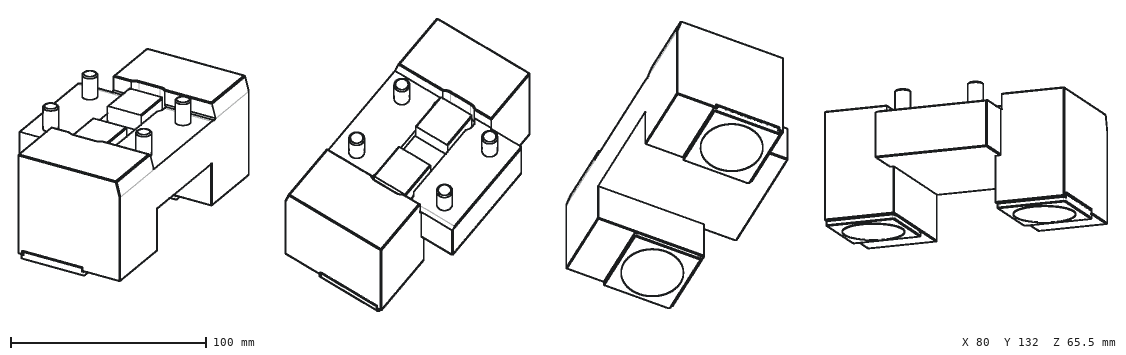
import cadquery as cq
import math

length_x = 80.0
length_y = 132.0
height = 65.5
edge_break = 0.46
centre_x = length_x / 2

base_top = 52.4
base_bottom = 27.9
base_y_min = -31.2
base_y_max = 30.5
base_chamfer = 0.5

block_x_min = 19.5
block_bottom = 3.0
block_top = 60.7
block_top_chamfer = 0.5
block_inner_y = 27.7
step_y = 31.5
slant_angle = 15.0
slant_run = (block_top - base_top) * math.tan(math.radians(slant_angle))

valley_start_y = 28.0
valley_drop = 0.7

channel_width = 20.9
channel_floor = 47.9
pocket_width = 24.0
pocket_end_y = 32.9
pocket_radius = 5.8

slider_width = 20.0
slider_inner_y = 7.5
slider_outer_y = 29.6
slider_top = 57.3

pin_diameter = 8.0
pin_chamfer = 0.8
pin_spacing_x = 55.0
pin_spacing_y = 40.0
pin_first_x = 12.4

disc_diameter = 32.0
disc_thickness = 0.4
lip_top = 2.8
foot_x_min = 21.1
foot_x_max = 58.9
foot_inner_y = 28.2
foot_outer_y = 65.9
foot_corner_radius = 0.99
neck_inset = 1.6
neck_top = 4.8
slot_bevel = 0.8


def box_between(x_range, y_range, z_range):
    """Box spanning the given (low, high) pairs."""
    lows, highs = zip(x_range, y_range, z_range)
    sizes = [high - low for low, high in zip(lows, highs)]
    return cq.Workplane("XY").box(*sizes, centered=False).translate(lows)


def make_base():
    base = box_between((0, length_x), (base_y_min, base_y_max), (base_bottom, base_top))
    return base.edges("<X or (<Z and |X)").chamfer(base_chamfer)


def make_channel():
    """Channel down to its floor, open at the top, with a wide rounded pocket at each end."""
    depth = block_top - channel_floor
    floor = cq.Workplane("XY", origin=(centre_x, 0, channel_floor))
    lobe_x = pocket_width / 2 - pocket_radius
    lobe_y = pocket_end_y - pocket_radius
    channel = floor.rect(channel_width, 2 * lobe_y).extrude(depth)
    lobes = floor.rect(2 * lobe_x, 2 * lobe_y, forConstruction=True).vertices()
    channel = channel.union(lobes.circle(pocket_radius).extrude(depth))
    return channel.union(floor.rect(2 * lobe_x, 2 * pocket_end_y).extrude(depth))


def make_block(channel):
    """Block at the +Y end, stepped back above the base."""
    outline = [
        (block_x_min, block_bottom),
        (length_x, block_bottom),
        (length_x, base_top),
        (length_x - slant_run, block_top),
        (block_x_min, block_top),
    ]
    outer_y = length_y / 2
    block = cq.Workplane("XZ", origin=(0, outer_y, 0)).polyline(outline).close()
    block = block.extrude(outer_y - block_inner_y)
    lower_edges = block.faces("<Z or <Y or >Y").edges("not >Z")
    block = lower_edges.chamfer(edge_break)
    step = box_between((0, length_x), (0, step_y), (base_top, block_top))
    block = block.cut(step).cut(channel)
    return block.faces(">Z").edges().chamfer(block_top_chamfer)


def make_foot():
    """Foot pad under the +Y block: contact disc, lip and neck."""
    y_range = (foot_inner_y, foot_outer_y)
    neck_x_range = (foot_x_min + neck_inset, foot_x_max - neck_inset)
    lip = box_between((foot_x_min, foot_x_max), y_range, (disc_thickness, lip_top))
    lip = lip.edges("|Z").fillet(foot_corner_radius).faces("<Z").edges().chamfer(edge_break)
    neck = box_between(neck_x_range, y_range, (lip_top, neck_top))
    disc_centre = ((foot_x_min + foot_x_max) / 2, sum(y_range) / 2, 0)
    disc = cq.Workplane("XY", origin=disc_centre).circle(disc_diameter / 2).extrude(disc_thickness)
    return lip.union(neck).union(disc)


def make_slot_bevel():
    """Flared mouth of the foot slot, widening evenly towards the +Y face."""
    neck_width = foot_x_max - foot_x_min - 2 * neck_inset
    bevel_start = ((foot_x_min + foot_x_max) / 2, length_y / 2 - slot_bevel, block_bottom)
    mouth = cq.Workplane("XZ", origin=bevel_start).rect(neck_width, 2 * (neck_top - block_bottom))
    return mouth.extrude(-slot_bevel, taper=-45)


def make_slider():
    """Slider at the +Y end of the channel."""
    x_range = (centre_x - slider_width / 2, centre_x + slider_width / 2)
    slider = box_between(x_range, (slider_inner_y, slider_outer_y), (channel_floor, slider_top))
    return slider.edges("(>Z and |Y) or (>Y and |Z)").chamfer(edge_break)


def make_pins():
    centre = (pin_first_x + pin_spacing_x / 2, 0, base_top)
    pins = cq.Workplane("XY", origin=centre).rect(pin_spacing_x, pin_spacing_y, forConstruction=True)
    pins = pins.vertices().circle(pin_diameter / 2).extrude(height - base_top)
    return pins.faces(">Z").edges().chamfer(pin_chamfer)


def make_valley():
    """Shallow V running along X where the base meets the +Y block."""
    outline = [
        (valley_start_y, base_top),
        (base_y_max, base_top - valley_drop),
        (step_y, base_top),
    ]
    return cq.Workplane("YZ").polyline(outline).close().extrude(length_x)


def both_ends(body):
    """Body at the +Y end together with its mirror image at the -Y end."""
    return body.union(body.mirror("XZ"))


channel = make_channel()
end_body = make_block(channel).cut(make_slot_bevel()).union(make_foot())

result = make_base().union(both_ends(end_body))
result = result.cut(make_valley()).cut(channel)
result = result.union(both_ends(make_slider())).union(make_pins())